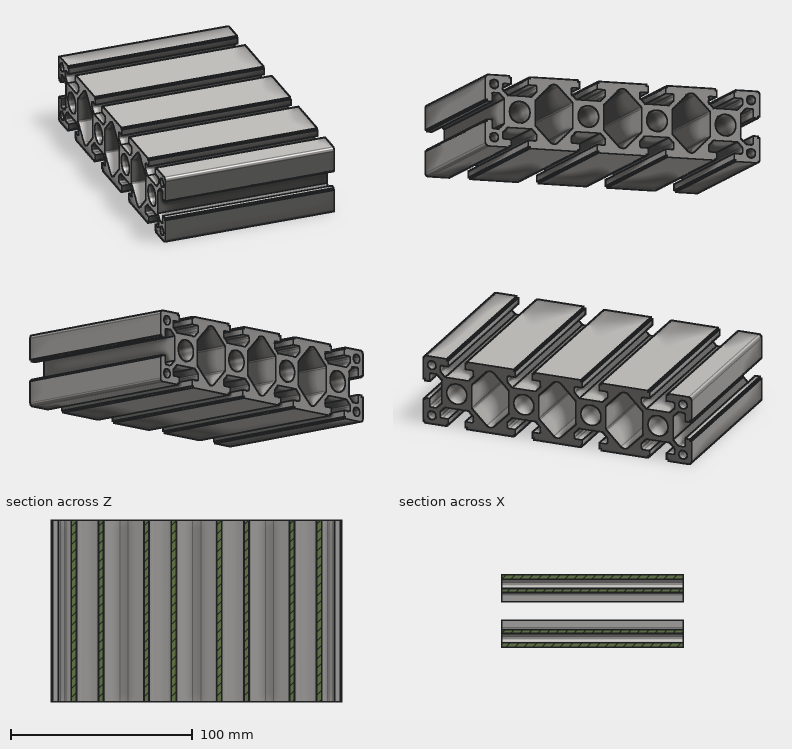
import cadquery as cq

cell = 40.0
cell_count = 4
width = cell * cell_count
height = cell
length = 100.0
outer_corner_radius = 2.0

slot_opening = 10.0
slot_depth = 11.0
slot_inner_width = 19.8
slot_floor_width = 13.8
lip_thickness = 4.5
lip_edge_notch = 1.0
pocket_radius = 1.1

end_lip_thickness = 3.8
end_slot_inner_width = 20.2

core_bore_diameter = 12.0
corner_bore_diameter = 5.0
corner_bore_inset = 5.1
cavity_width = 22.0
cavity_side_height = 14.0
cavity_peak_radius = 3.2
cavity_side_radius = 1.3

edge_reach = 0.2

cell_centers = [(i - (cell_count - 1) / 2) * cell for i in range(cell_count)]
cavity_centers = [(i - (cell_count - 2) / 2) * cell for i in range(cell_count - 1)]


def extrude_along_length(sketch):
    """Extrude an XZ sketch over the full length, centred on Y = 0."""
    return sketch.extrude(length / 2, both=True)


def edges_at(x, z):
    """Selector for the lengthwise edges at the mirrored points (x, z) and (-x, z)."""
    left, right = (
        cq.selectors.BoxSelector(
            (center - edge_reach, -length, z - edge_reach),
            (center + edge_reach, length, z + edge_reach),
        )
        for center in (-x, x)
    )
    return left + right


def slot_cutter(lip, inner_width):
    """Upward-opening T-slot with its mouth at Z = 0 and 45 degree flanks down to the floor."""
    half_opening = slot_opening / 2
    half_mouth = half_opening + lip_edge_notch
    half_inner = inner_width / 2
    half_floor = slot_floor_width / 2
    shoulder_depth = slot_depth - (half_inner - half_floor)
    right_side = [
        (half_mouth, 0),
        (half_mouth, -lip_edge_notch),
        (half_opening, -lip_edge_notch),
        (half_opening, -lip),
        (half_inner, -lip),
        (half_inner, -shoulder_depth),
        (half_floor, -slot_depth),
    ]
    left_side = [(-x, z) for x, z in reversed(right_side)]
    cutter = extrude_along_length(cq.Workplane("XZ").polyline(right_side + left_side).close())
    for depth in (lip, shoulder_depth):
        cutter = cutter.edges(edges_at(half_inner, -depth)).fillet(pocket_radius)
    return cutter


def cavity_cutter():
    """Six-sided cavity with 45 degree flanks meeting in rounded peaks."""
    half_width = cavity_width / 2
    half_side = cavity_side_height / 2
    peak = half_side + half_width
    outline = [
        (half_width, -half_side),
        (half_width, half_side),
        (0, peak),
        (-half_width, half_side),
        (-half_width, -half_side),
        (0, -peak),
    ]
    cutter = extrude_along_length(cq.Workplane("XZ").polyline(outline).close())
    for z in (peak, -peak):
        cutter = cutter.edges(edges_at(0, z)).fillet(cavity_peak_radius)
    for z in (half_side, -half_side):
        cutter = cutter.edges(edges_at(half_width, z)).fillet(cavity_side_radius)
    return cutter


def bores(points, diameter):
    """Round bores over the full length at the given (x, z) points."""
    return extrude_along_length(cq.Workplane("XZ").pushPoints(points).circle(diameter / 2))


body = cq.Workplane("XY").box(width, length, height).edges("|Y").fillet(outer_corner_radius)

face_slot = slot_cutter(lip_thickness, slot_inner_width).translate((0, 0, height / 2))
for x in cell_centers:
    for angle in (0, 180):
        body = body.cut(face_slot.rotate((0, 0, 0), (0, 1, 0), angle).translate((x, 0, 0)))

end_slot = slot_cutter(end_lip_thickness, end_slot_inner_width).translate((0, 0, width / 2))
for angle in (90, -90):
    body = body.cut(end_slot.rotate((0, 0, 0), (0, 1, 0), angle))

cavity = cavity_cutter()
for x in cavity_centers:
    body = body.cut(cavity.translate((x, 0, 0)))

core_points = [(x, 0) for x in cell_centers]
corner_x = width / 2 - corner_bore_inset
corner_z = height / 2 - corner_bore_inset
corner_points = [(side * corner_x, z) for side in (-1, 1) for z in (-corner_z, corner_z)]
body = body.cut(bores(core_points, core_bore_diameter))
body = body.cut(bores(corner_points, corner_bore_diameter))

result = body